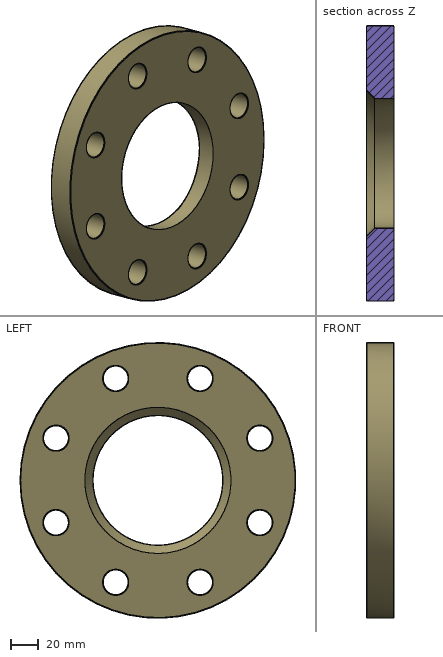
import cadquery as cq

outer_diameter = 200.0
thickness = 20.0
bore_diameter = 94.0
bore_mouth_diameter = 106.0
bolt_circle_diameter = 160.0
bolt_hole_diameter = 18.0
bolt_hole_count = 8
rim_chamfer = 0.5
bolt_hole_chamfer = 0.5

bore_chamfer = (bore_mouth_diameter - bore_diameter) / 2
first_hole_angle = 360 / bolt_hole_count / 2


def make_disc():
    """Solid disc centred on the origin, with both rim edges chamfered."""
    front_plane = cq.Workplane("YZ").workplane(offset=-thickness / 2)
    disc = front_plane.circle(outer_diameter / 2).extrude(thickness)
    return disc.edges().chamfer(rim_chamfer)


def cut_bore(body):
    """Central through bore with a conical mouth on the front face."""
    drilled = body.faces("<X").workplane(centerOption="CenterOfBoundBox").hole(bore_diameter)
    bore_edge = cq.selectors.RadiusNthSelector(0)
    return drilled.faces("<X").edges(bore_edge).chamfer(bore_chamfer)


def cut_bolt_holes(body):
    """Bolt holes straddling the Y and Z axes, chamfered at both ends."""
    drilled = (
        body.faces("<X")
        .workplane(centerOption="CenterOfBoundBox")
        .polarArray(bolt_circle_diameter / 2, first_hole_angle, 360, bolt_hole_count)
        .hole(bolt_hole_diameter)
    )
    hole_edges = cq.selectors.RadiusNthSelector(0)
    return drilled.faces("<X or >X").edges(hole_edges).chamfer(bolt_hole_chamfer)


result = cut_bolt_holes(cut_bore(make_disc()))